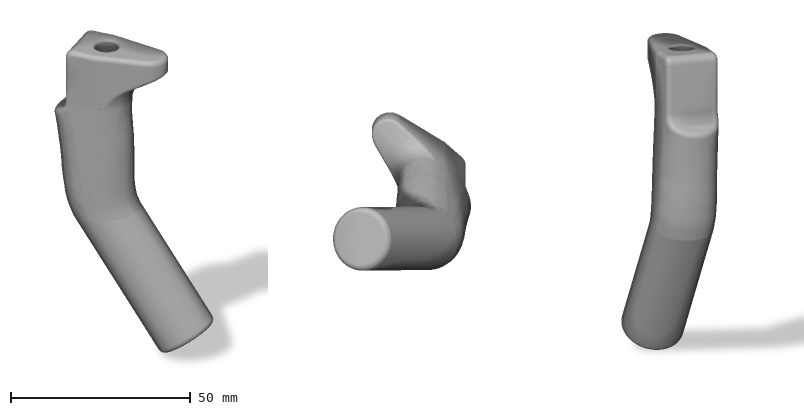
import cadquery as cq
import math


head_height = 16.3
head_width = 15.3
head_back_x = -9.6
taper_start_x = -0.55
nose_radius = 5.0
nose_tip_x = 18.2

lip_slope = math.radians(32)
lip_arc_radius = 7.9
rest_slope = math.radians(30)
rest_arc_radius = 3.5

neck_back_center_x = -8.0
bend_tilt = 4
bend_center = (-1.9, -45.8)
bend_length = 19.9
bend_width = 17.3
neck_steps = 3

handle_diameter = 17.7
handle_lean = 35
handle_end = (24.8, -86.7)
handle_length = 43.1
joint_tilt = 10
handle_end_fillet = 1.55

edge_fillet = 1.5
back_top_fillet = 2.3
lip_fillet = 1.0

hole_diameter = 6.75
hole_chamfer = 0.55
hole_depth = 16.4
drill_point_angle = 118

half_head = head_width / 2
lean = math.radians(handle_lean)


def tilted_plane(x, z, tilt_degrees):
    """Horizontal plane through (x, 0, z), turned so that its +X side rises."""
    tilt = math.radians(tilt_degrees)
    return cq.Plane((x, 0, z), (math.cos(tilt), 0, math.sin(tilt)), (-math.sin(tilt), 0, math.cos(tilt)))


def stadium_wire(plane, length, width):
    radius = width / 2
    straight = length / 2 - radius
    return (
        cq.Workplane(plane)
        .moveTo(straight, -radius)
        .threePointArc((straight + radius, 0), (straight, radius))
        .lineTo(-straight, radius)
        .threePointArc((-straight - radius, 0), (-straight, -radius))
        .close()
        .val()
    )


def joint_wire(plane, long_radius, short_radius):
    """Ellipse in four arcs that pair with the four edges of a stadium."""
    side_arc = 10
    corners = (side_arc - 90, 90 - side_arc, 90 + side_arc, 270 - side_arc, 270 + side_arc)
    arcs = [
        cq.Edge.makeEllipse(long_radius, short_radius, plane.origin, plane.zDir, plane.xDir, start, end)
        for start, end in zip(corners, corners[1:])
    ]
    return cq.Wire.assembleEdges(arcs)


def make_neck():
    top_length = taper_start_x - neck_back_center_x + head_width
    top_x = (taper_start_x + neck_back_center_x) / 2
    wires = []
    for step in range(neck_steps + 1):
        part = step / neck_steps
        x = top_x + part * (bend_center[0] - top_x)
        z = -head_height + part * (bend_center[1] + head_height)
        length = top_length + part * (bend_length - top_length)
        width = head_width + part * (bend_width - head_width)
        wires.append(stadium_wire(tilted_plane(x, z, part * bend_tilt), length, width))
    joint_x = handle_end[0] - handle_length * math.sin(lean)
    joint_z = handle_end[1] + handle_length * math.cos(lean)
    radius = handle_diameter / 2
    long_radius = radius / math.cos(math.radians(handle_lean - joint_tilt))
    joint_plane = tilted_plane(joint_x, joint_z, joint_tilt)
    wires.append(joint_wire(joint_plane, long_radius, radius))
    return cq.Workplane(cq.Solid.makeLoft(wires)), joint_plane


def make_handle(joint_plane):
    overlap = handle_diameter
    trim_size = 4 * handle_diameter
    handle = (
        cq.Workplane(tilted_plane(*handle_end, handle_lean))
        .circle(handle_diameter / 2)
        .extrude(handle_length + overlap)
        .faces("<Z")
        .edges()
        .fillet(handle_end_fillet)
    )
    return handle.cut(cq.Workplane(joint_plane).rect(trim_size, trim_size).extrude(trim_size))


def make_head():
    nose_center_x = nose_tip_x - nose_radius
    run = nose_center_x - taper_start_x
    distance = math.hypot(run, half_head)
    taper = math.asin(half_head / distance) - math.asin(nose_radius / distance)
    nose_edge_x = nose_center_x + nose_radius * math.sin(taper)
    nose_edge_y = nose_radius * math.cos(taper)
    plan = (
        cq.Workplane("XY")
        .moveTo(neck_back_center_x, half_head)
        .lineTo(taper_start_x, half_head)
        .lineTo(nose_edge_x, nose_edge_y)
        .threePointArc((nose_tip_x, 0), (nose_edge_x, -nose_edge_y))
        .lineTo(taper_start_x, -half_head)
        .lineTo(neck_back_center_x, -half_head)
        .threePointArc((neck_back_center_x - half_head, 0), (neck_back_center_x, half_head))
        .close()
        .extrude(-head_height)
    )
    arc_end = math.pi / 2 - lip_slope
    reach = 2 * nose_tip_x
    arc_end_r = half_head + lip_arc_radius * (1 - math.cos(arc_end))
    arc_end_z = -head_height + lip_arc_radius * math.sin(arc_end)
    outer_z = arc_end_z + (reach - arc_end_r) * math.tan(lip_slope)
    flare = (
        cq.Workplane("XZ", origin=(taper_start_x, 0, 0))
        .moveTo(0, -head_height)
        .lineTo(half_head, -head_height)
        .threePointArc(
            (
                half_head + lip_arc_radius * (1 - math.cos(arc_end / 2)),
                -head_height + lip_arc_radius * math.sin(arc_end / 2),
            ),
            (arc_end_r, arc_end_z),
        )
        .lineTo(reach, outer_z)
        .lineTo(0, outer_z)
        .close()
        .revolve(360, (0, 0), (0, 1))
    )
    back = cq.Workplane("XY").box(reach, reach, head_height, centered=(False, True, False))
    back = back.translate((taper_start_x - reach, 0, -head_height))
    head = plan.intersect(flare.union(back))
    lip_edge = cq.selectors.NearestToPointSelector((nose_tip_x, 0, -head_height / 4))
    return head.edges(lip_edge).fillet(lip_fillet)


def make_rest_cut():
    """Space behind the head, above the sloping thumb rest."""
    arc_end = math.pi / 2 - rest_slope
    reach = 2 * head_width
    arc_end_x = head_back_x - rest_arc_radius * (1 - math.cos(arc_end))
    arc_end_z = -head_height - rest_arc_radius * math.sin(arc_end)
    return (
        cq.Workplane("XZ")
        .moveTo(head_back_x, head_height)
        .lineTo(head_back_x, -head_height)
        .threePointArc(
            (
                head_back_x - rest_arc_radius * (1 - math.cos(arc_end / 2)),
                -head_height - rest_arc_radius * math.sin(arc_end / 2),
            ),
            (arc_end_x, arc_end_z),
        )
        .lineTo(arc_end_x - reach, arc_end_z - reach * math.tan(rest_slope))
        .lineTo(arc_end_x - reach, head_height)
        .close()
        .extrude(head_width, both=True)
    )


def drill_hole():
    radius = hole_diameter / 2
    point_height = radius / math.tan(math.radians(drill_point_angle / 2))
    return (
        cq.Workplane("XZ")
        .moveTo(0, 0)
        .lineTo(radius + hole_chamfer, 0)
        .lineTo(radius, -hole_chamfer)
        .lineTo(radius, -hole_depth)
        .lineTo(0, -hole_depth - point_height)
        .close()
        .revolve(360, (0, 0), (0, 1))
    )


def is_rounded_edge(edge):
    """Rim of the flat top, both corners of the head's back and the thumb rest's outline."""
    box = edge.BoundingBox()
    tolerance = 0.01
    straight_across = edge.geomType() == "LINE" and box.ymin * box.ymax < 0
    lowest_rest_z = -1.5 * head_height
    on_top = box.zmin > -tolerance
    at_back = box.xmax < head_back_x + back_top_fillet + tolerance and box.zmin > lowest_rest_z
    behind_corner = box.xmin < head_back_x + tolerance
    return not straight_across and (on_top or (at_back and behind_corner))


def round_edges(body):
    back_top_edge = cq.selectors.NearestToPointSelector((head_back_x, 0, 0))
    body = body.edges(back_top_edge).fillet(back_top_fillet)
    sharp_edges = [edge for edge in body.edges().vals() if is_rounded_edge(edge)]
    return body.newObject(sharp_edges).fillet(edge_fillet)


neck, joint_plane = make_neck()
body = make_head().union(neck).union(make_handle(joint_plane)).cut(make_rest_cut())
result = round_edges(body).cut(drill_hole())